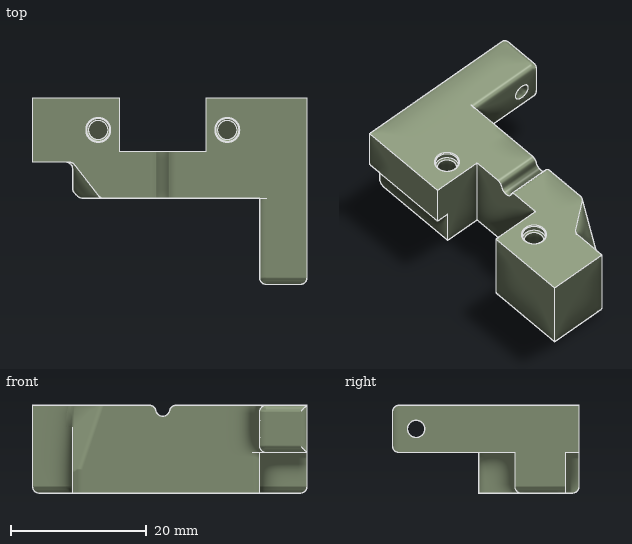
import cadquery as cq
import math

length = 40.5
depth = 27.55
height = 13.0
edge_radius = 1.0

block_front = depth - 9.48
body_front = depth - 14.82
body_left = 5.9
notch_left = 12.85
notch_right = 25.6
notch_floor = depth - 7.9

arm_side = 7.0
arm_left = length - arm_side
arm_bottom = height - arm_side
arm_hole_diameter = 2.5

step_depth = 2.02

corner_chamfer = 1.05
facet_top_run = 4.15
facet_foot_z = 3.8

groove_x = (notch_left + notch_right) / 2
groove_radius = 1.0
groove_axis_z = height - 0.6

hole_spacing = 19.05
hole_y = depth - 4.75
hole_mouth_diameter = 3.7
hole_upper_diameter = 3.4
hole_lower_diameter = 2.85
shoulder_top_depth = 1.0
shoulder_foot_depth = 1.2
hole_depth = 6.08


def box(x0, x1, y0, y1, z0, z1):
    return cq.Workplane("XY").box(x1 - x0, y1 - y0, z1 - z0, centered=False).translate((x0, y0, z0))


def near(x, y, z):
    return cq.selectors.NearestToPointSelector((x, y, z))


def make_body():
    outline = [
        (0, block_front),
        (body_left, block_front),
        (body_left, body_front),
        (length, body_front),
        (length, depth),
        (notch_right, depth),
        (notch_right, notch_floor),
        (notch_left, notch_floor),
        (notch_left, depth),
        (0, depth),
    ]
    body = cq.Workplane("XY").polyline(outline).close().extrude(height)
    body = body.cut(box(arm_left, length, body_front, block_front, 0, arm_bottom))
    body = body.cut(box(notch_right, length, depth - step_depth, depth, 0, arm_bottom))
    return body.edges(near(arm_left, body_front, arm_bottom / 2)).fillet(edge_radius)


def cut_corner_facet(body):
    body = body.edges(near(body_left, body_front, height / 2)).chamfer(corner_chamfer)
    back_top = cq.Vector(body_left, block_front, height)
    front_top = cq.Vector(body_left + facet_top_run, body_front, height)
    foot = cq.Vector(body_left + corner_chamfer, body_front, facet_foot_z)
    along_top = front_top - back_top
    outward = (foot - back_top).cross(along_top)
    facet = cq.Plane(origin=front_top, xDir=along_top, normal=outward)
    waste = cq.Workplane(facet).rect(length, length).extrude(length)
    waste = waste.intersect(box(body_left, length, 0, block_front, 0, height))
    return body.cut(waste)


def round_corner(body):
    half_chamfer = corner_chamfer / 2
    chamfer = body.faces(near(body_left + half_chamfer, body_front + half_chamfer, facet_foot_z / 2))
    facet_middle_y = (body_front + block_front) / 2
    facet = body.faces(near(body_left + facet_top_run / 2, facet_middle_y, height))
    edges = chamfer.edges("|Z").vals() + facet.edges("not #Z").vals()
    return body.newObject(edges).fillet(edge_radius)


def round_block_root(body):
    return body.edges(near(body_left, block_front, height / 2)).fillet(edge_radius)


def round_underside(body):
    lower_back = depth - step_depth
    left_block = [(0, (block_front + depth) / 2), (notch_left / 2, depth)]
    right_block = [(length, (block_front + lower_back) / 2), (length - arm_side / 2, block_front)]
    edges = [body.edges(near(x, y, 0)).val() for x, y in left_block + right_block]
    return body.newObject(edges).fillet(edge_radius)


def round_left_block_front(body):
    axis_y = block_front + edge_radius
    flared_round = (
        cq.Workplane("XY")
        .lineTo(0, edge_radius)
        .lineTo(body_left - edge_radius, edge_radius)
        .radiusArc((body_left, 2 * edge_radius), -edge_radius)
        .lineTo(body_left, 0)
        .close()
        .revolve(360, (0, 0, 0), (1, 0, 0))
        .translate((0, axis_y, edge_radius))
    )
    lower_front = box(0, body_left, axis_y - 2 * edge_radius, axis_y, 0, edge_radius)
    return body.cut(lower_front.cut(flared_round))


def make_arm():
    arm = box(arm_left, length, 0, body_front, arm_bottom, height)
    arm = arm.edges("<Y or (<X and |Y)").fillet(edge_radius)
    hole_from_tip = arm_side / 2
    hole = (
        cq.Workplane("YZ", origin=(arm_left, 0, 0))
        .center(hole_from_tip, arm_bottom + arm_side / 2)
        .circle(arm_hole_diameter / 2)
        .extrude(arm_side)
    )
    return arm.cut(hole)


def cut_groove(body):
    lip_drop = groove_axis_z - (height - groove_radius)
    lip_offset = math.sqrt((2 * groove_radius) ** 2 - lip_drop**2)
    meet_offset = lip_offset / 2
    meet_z = groove_axis_z - lip_drop / 2
    groove = (
        cq.Workplane("XZ", origin=(groove_x, notch_floor, 0))
        .moveTo(-lip_offset, height)
        .radiusArc((-meet_offset, meet_z), groove_radius)
        .threePointArc((0, groove_axis_z - groove_radius), (meet_offset, meet_z))
        .radiusArc((lip_offset, height), groove_radius)
        .close()
        .extrude(notch_floor - body_front)
    )
    return body.cut(groove)


def drill_holes(body):
    mouth_radius = hole_mouth_diameter / 2
    upper_radius = hole_upper_diameter / 2
    lower_radius = hole_lower_diameter / 2
    profile = [
        (0, height),
        (mouth_radius, height),
        (upper_radius, height - (mouth_radius - upper_radius)),
        (upper_radius, height - shoulder_top_depth),
        (lower_radius, height - shoulder_foot_depth),
        (lower_radius, height - hole_depth),
        (0, height - hole_depth),
    ]
    hole = cq.Workplane("XZ").polyline(profile).close().revolve(360, (0, 0, 0), (0, 1, 0))
    for side in (-1, 1):
        body = body.cut(hole.translate((groove_x + side * hole_spacing / 2, hole_y, 0)))
    return body


body = round_corner(cut_corner_facet(make_body()))
body = round_left_block_front(round_underside(round_block_root(body)))
result = drill_holes(cut_groove(body.union(make_arm())))